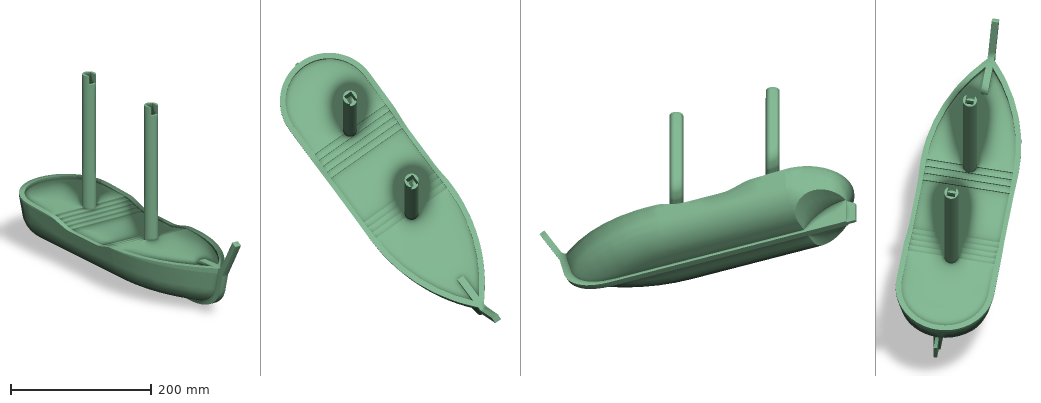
import cadquery as cq
import math


beam = 141.16
rail_half = beam / 2
chine_half = 66.0
chine_height = 37.6
keel_depth = 4.0
bilge_radius = 40.0
bilge_center_height = keel_depth + bilge_radius
bilge_center_half = chine_half - math.sqrt(bilge_radius**2 - (bilge_center_height - chine_height)**2)

body_length = 200.0
bow_radius = 250.0
bow_axis_y = rail_half - bow_radius
stern_cut_end = (-1.0, keel_depth)
stern_cut_middle = (-29.0, 27.7)

waist_deck = 53.0
step_rise = 2.3
step_run = 10.0
aft_steps = 5
fore_steps = 4
quarter_deck = waist_deck + aft_steps * step_rise
fore_deck = waist_deck + fore_steps * step_rise
bulwark_thickness = 8.0

mast_height = 266.0
mast_diameter = 20.0
aft_mast_x = 50.0
fore_mast_x = body_length
mast_socket = 12.0
mast_socket_depth = 26.0
mast_notch_depth = 13.0

stern_sheer = 70.0
stern_sheer_x = -66.5
aft_mast_sheer = 65.5
waist_sheer = 55.7
fore_mast_sheer = 63.0
bow_sheer = 70.0
waist_start = 100.0
waist_end = 160.0
bow_sheer_x = 365.0
fore_slope = (bow_sheer - fore_mast_sheer) / (bow_sheer_x - fore_mast_x)

keel_width = 10.0
stem_knuckle = (379.5, 62.0)
bowsprit_angle = 60.0
bowsprit_thickness = 8.8
bowsprit_tip_x = 410.8
bowsprit_root_fillet = 11.5
stem_inner_point = (340.0, 45.0)
rudder_aft_x = -79.5
rudder_thickness = 5.0
rudder_aft_height = 29.5
knee_aft_x = 315.2
knee_round = 9.5

blank_height = 80.0
overrun = 20.0
aft_limit = -rail_half - overrun
fore_limit = bow_sheer_x + 2 * overrun


def bow_reach(half_width):
    """X where the bow arc starting at this half width meets the centre plane."""
    radius = half_width - bow_axis_y
    return body_length + math.sqrt(radius**2 - bow_axis_y**2)


def fore_sheer(x):
    """Height of the straight sheer line forward of the fore mast."""
    return fore_mast_sheer + fore_slope * (x - fore_mast_x)


def half_section(plane, knuckle_height):
    """Half of the hull section; its flared side turns vertical at the knuckle."""
    middle_angle = math.acos((bilge_center_height - chine_height) / bilge_radius) / 2
    bilge_middle = (
        bilge_center_half + bilge_radius * math.sin(middle_angle),
        bilge_center_height - bilge_radius * math.cos(middle_angle),
    )
    return (
        plane.moveTo(0, keel_depth)
        .lineTo(bilge_center_half, keel_depth)
        .threePointArc(bilge_middle, (chine_half, chine_height))
        .lineTo(rail_half, knuckle_height)
        .lineTo(rail_half, blank_height)
        .lineTo(0, blank_height)
        .close()
    )


def side_profile(points, width):
    """Prism across the ship, centred on Y = 0, with a polygonal side outline."""
    return cq.Workplane("XZ").polyline(points).close().extrude(width / 2, both=True)


def make_stern():
    section = half_section(cq.Workplane("YZ"), quarter_deck)
    return section.revolve(180, (0, 0), (0, 1))


def make_half_body():
    aft_wire = half_section(cq.Workplane("YZ"), quarter_deck).val()
    fore_wire = half_section(cq.Workplane("YZ", origin=(body_length, 0, 0)), fore_deck).val()
    return cq.Workplane(cq.Solid.makeLoft([aft_wire, fore_wire], True))


def make_half_bow():
    """Section swept about the bow axis, kept on one side of the centre plane."""
    section = half_section(cq.Workplane("YZ", origin=(body_length, 0, 0)), fore_deck)
    swept = section.revolve(90, (bow_axis_y, 0), (bow_axis_y, -1))
    port_side = cq.Workplane().box(
        bow_radius, beam, blank_height, centered=False
    ).translate((body_length, 0, 0))
    return swept.intersect(port_side)


def make_sheer_cutter():
    """Everything above the sheer line."""
    aft_slope = (aft_mast_sheer - stern_sheer) / (aft_mast_x - stern_sheer_x)
    clear_height = blank_height + overrun
    return (
        cq.Workplane("XZ")
        .moveTo(aft_limit, stern_sheer)
        .lineTo(stern_sheer_x, stern_sheer)
        .lineTo(aft_mast_x, aft_mast_sheer)
        .spline([(waist_start, waist_sheer)], tangents=[(1, aft_slope), (1, 0)], includeCurrent=True)
        .lineTo(waist_end, waist_sheer)
        .spline([(fore_mast_x, fore_mast_sheer)], tangents=[(1, 0), (1, fore_slope)], includeCurrent=True)
        .lineTo(bow_sheer_x, bow_sheer)
        .lineTo(fore_limit, bow_sheer)
        .lineTo(fore_limit, clear_height)
        .lineTo(aft_limit, clear_height)
        .close()
        .extrude(beam, both=True)
    )


def make_stern_cutter():
    """Region below the hollow run that rises from the flat bottom to the chine."""
    return (
        cq.Workplane("XZ")
        .moveTo(-chine_half, chine_height)
        .threePointArc(stern_cut_middle, stern_cut_end)
        .lineTo(stern_cut_end[0], -overrun)
        .lineTo(aft_limit, -overrun)
        .lineTo(aft_limit, chine_height)
        .close()
        .extrude(beam, both=True)
    )


def make_deck_cutter():
    """Space inside the bulwarks, with the stepped decks as its floor."""
    inner_half = rail_half - bulwark_thickness
    inner_bow_radius = bow_radius - bulwark_thickness
    inner_tip = bow_reach(inner_half)
    half_turn = math.asin((inner_tip - body_length) / inner_bow_radius) / 2
    arc_x = body_length + inner_bow_radius * math.sin(half_turn)
    arc_y = bow_axis_y + inner_bow_radius * math.cos(half_turn)
    plan = (
        cq.Workplane("XY")
        .moveTo(0, inner_half)
        .lineTo(body_length, inner_half)
        .threePointArc((arc_x, arc_y), (inner_tip, 0))
        .threePointArc((arc_x, -arc_y), (body_length, -inner_half))
        .lineTo(0, -inner_half)
        .threePointArc((-inner_half, 0), (0, inner_half))
        .close()
        .extrude(blank_height)
    )
    floor = [(aft_limit, blank_height), (aft_limit, quarter_deck)]
    for step in range(aft_steps):
        riser_x = aft_mast_x + step * step_run
        floor.append((riser_x, quarter_deck - step * step_rise))
        floor.append((riser_x, quarter_deck - (step + 1) * step_rise))
    for step in range(fore_steps):
        riser_x = fore_mast_x - (fore_steps - 1 - step) * step_run
        floor.append((riser_x, waist_deck + step * step_rise))
        floor.append((riser_x, waist_deck + (step + 1) * step_rise))
    floor += [(fore_limit, fore_deck), (fore_limit, blank_height)]
    return plan.intersect(side_profile(floor, 2 * beam))


def make_hull():
    half_body = make_half_body()
    half_bow = make_half_bow()
    hull = make_stern()
    for part in (half_body, half_bow):
        hull = hull.union(part).union(part.mirror("XZ"))
    return hull.cut(make_stern_cutter()).cut(make_sheer_cutter()).cut(make_deck_cutter())


def make_keel():
    """Keel, skeg, stem and bowsprit as one plate on the centre plane."""
    outer_radius = bilge_radius + keel_depth
    chine_angle = math.acos((bilge_center_height - chine_height) / outer_radius)
    curve_pieces = 5
    stem_curve = []
    for piece in range(1, curve_pieces + 1):
        angle = chine_angle * piece / curve_pieces
        half_width = bilge_center_half + outer_radius * math.sin(angle)
        stem_curve.append((bow_reach(half_width), bilge_center_height - outer_radius * math.cos(angle)))

    slope = math.radians(bowsprit_angle)
    tip_height = stem_knuckle[1] + (bowsprit_tip_x - stem_knuckle[0]) * math.tan(slope)
    upper_tip_x = bowsprit_tip_x - bowsprit_thickness * math.sin(slope)
    upper_tip_height = tip_height + bowsprit_thickness * math.cos(slope)
    root_x = upper_tip_x - (upper_tip_height - bow_sheer) / math.tan(slope)
    plate = (
        cq.Workplane("XZ")
        .moveTo(-chine_half, 0)
        .lineTo(bow_reach(bilge_center_half), 0)
        .spline(stem_curve, includeCurrent=True)
        .lineTo(*stem_knuckle)
        .lineTo(bowsprit_tip_x, tip_height)
        .lineTo(upper_tip_x, upper_tip_height)
        .lineTo(root_x, bow_sheer)
        .lineTo(bow_sheer_x, bow_sheer)
        .lineTo(*stem_inner_point)
        .lineTo(-chine_half, chine_height)
        .close()
        .extrude(keel_width / 2, both=True)
    )
    root_edge = cq.selectors.NearestToPointSelector((root_x, 0, bow_sheer))
    return plate.edges("|Y").edges(root_edge).fillet(bowsprit_root_fillet)


def make_rudder():
    outline = [
        (rudder_aft_x, 0),
        (-chine_half, 0),
        (-chine_half, chine_height),
        (rudder_aft_x, rudder_aft_height),
    ]
    return side_profile(outline, rudder_thickness)


def make_knee():
    """Bar on the foredeck that backs the stem, level with the rail and rounded at its aft end."""
    outline = [
        (knee_aft_x, waist_deck),
        (bow_sheer_x, waist_deck),
        (bow_sheer_x, bow_sheer),
        (knee_aft_x, fore_sheer(knee_aft_x)),
    ]
    bar = side_profile(outline, keel_width)
    top_edge = cq.selectors.NearestToPointSelector((knee_aft_x, 0, fore_sheer(knee_aft_x)))
    return bar.edges("|Y").edges(top_edge).fillet(knee_round)


def make_mast(x):
    """Round mast with a square socket in its top, notched open towards the bow."""
    mast = cq.Workplane("XY", origin=(x, 0, waist_deck)).circle(mast_diameter / 2).extrude(
        mast_height - waist_deck
    )
    top = cq.Workplane("XY", origin=(x, 0, mast_height))
    socket = top.rect(mast_socket, mast_socket).extrude(-mast_socket_depth)
    notch = top.center(mast_diameter / 2, 0).rect(mast_diameter, mast_socket).extrude(-mast_notch_depth)
    return mast.cut(socket).cut(notch)


result = make_hull().union(make_keel()).union(make_rudder()).union(make_knee())
for mast_x in (aft_mast_x, fore_mast_x):
    result = result.union(make_mast(mast_x))